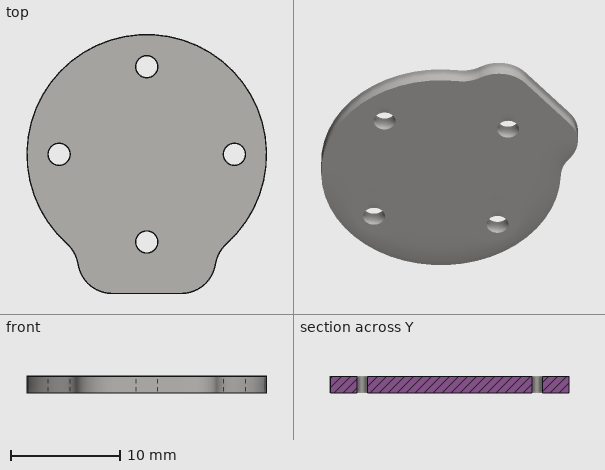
import cadquery as cq
import math

thickness = 1.57
disc_radius = 10.945
tab_reach = 12.715
flat_half_width = 3.14
blend_radius = 3.175
side_taper = math.radians(12)
hole_diameter = 2.0
hole_circle_radius = 8.0
hole_count = 4


def along(start, direction, distance):
    """Point reached from start by moving a distance along a unit direction."""
    return (start[0] + distance * direction[0], start[1] + distance * direction[1])


def mirrored(point):
    """Reflect a point across the Y axis."""
    return (-point[0], point[1])


def unit(vector):
    """Unit vector with the direction of the given vector."""
    length = math.hypot(*vector)
    return (vector[0] / length, vector[1] / length)


def middle_direction(first, second):
    """Unit direction halfway between two unit directions."""
    return unit((first[0] + second[0], first[1] + second[1]))


def make_plate():
    """Round plate with a tapered tab blended onto its -Y edge."""
    origin = (0, 0)
    down = (0, -1)
    side_normal = (math.cos(side_taper), -math.sin(side_taper))
    side_direction = (-math.sin(side_taper), -math.cos(side_taper))

    corner_centre = (flat_half_width, blend_radius - tab_reach)
    flat_end = along(corner_centre, down, blend_radius)
    corner_middle = along(corner_centre, middle_direction(down, side_normal), blend_radius)
    side_bottom = along(corner_centre, side_normal, blend_radius)

    side_offset = side_bottom[0] * side_normal[0] + side_bottom[1] * side_normal[1]
    neck_offset = side_offset + blend_radius
    neck_slide = math.sqrt((disc_radius + blend_radius) ** 2 - neck_offset ** 2)
    neck_centre = along(along(origin, side_normal, neck_offset), side_direction, neck_slide)
    toward_disc = unit((-neck_centre[0], -neck_centre[1]))
    toward_side = (-side_normal[0], -side_normal[1])
    side_top = along(neck_centre, toward_side, blend_radius)
    neck_middle = along(neck_centre, middle_direction(toward_side, toward_disc), blend_radius)
    disc_end = along(neck_centre, toward_disc, blend_radius)

    return (
        cq.Workplane("XY")
        .moveTo(*mirrored(flat_end))
        .lineTo(*flat_end)
        .threePointArc(corner_middle, side_bottom)
        .lineTo(*side_top)
        .threePointArc(neck_middle, disc_end)
        .threePointArc((0, disc_radius), mirrored(disc_end))
        .threePointArc(mirrored(neck_middle), mirrored(side_top))
        .lineTo(*mirrored(side_bottom))
        .threePointArc(mirrored(corner_middle), mirrored(flat_end))
        .close()
        .extrude(thickness)
    )


def make_holes():
    """Through holes evenly spaced on a circle about the disc centre."""
    return (
        cq.Workplane("XY")
        .polarArray(hole_circle_radius, 0, 360, hole_count)
        .circle(hole_diameter / 2)
        .extrude(thickness)
    )


result = make_plate().cut(make_holes())